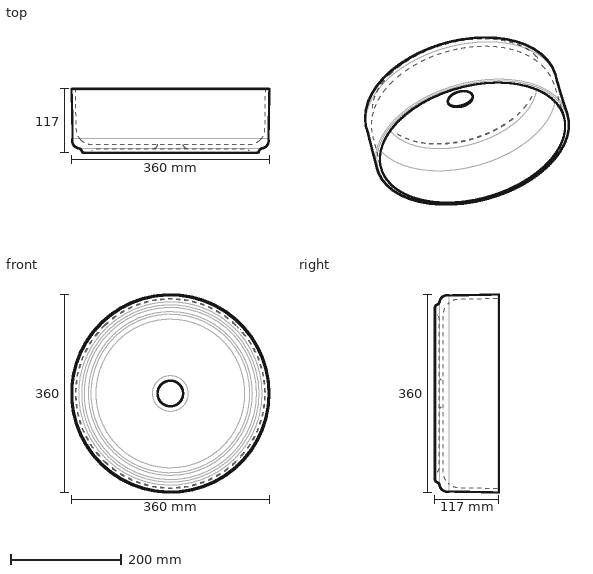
import cadquery as cq
import math

rim_radius = 180.0
height = 117.0
base_y = -height / 2
rim_y = height / 2

rim_round = 2.0
wall_base_radius = 178.0
wall_base_y = base_y + 26.3
shoulder_radius = 166.3
shoulder_y = base_y + 8.5
shoulder_bulge = 4.5

neck_radius = 161.0
neck_y = base_y + 3.2
neck_bulge = 1.0
foot_outer_radius = 156.2
foot_bulge = 0.7
foot_inner_radius = 148.5
recess_bend_radius = 144.0
recess_radius = 135.0
recess_depth = 8.0

wall_thickness = 7.5
floor_thickness = 7.5
bowl_corner_round = 28.8
drain_radius = 23.0
drain_mouth_radius = 32.5


def bulge_point(start, end, bulge):
    """Arc midpoint, offset from the chord to the right of start -> end."""
    dx = end[0] - start[0]
    dy = end[1] - start[1]
    chord = math.hypot(dx, dy)
    middle_x = (start[0] + end[0]) / 2
    middle_y = (start[1] + end[1]) / 2
    return (middle_x + bulge * dy / chord, middle_y - bulge * dx / chord)


def arc_to(profile, start, end, bulge):
    return profile.threePointArc(bulge_point(start, end, bulge), end)


def flat_end_bulge(start, end):
    """Bulge of an arc that runs parallel to the floor at one of its ends."""
    chord_angle = math.atan2(abs(end[1] - start[1]), abs(end[0] - start[0]))
    return math.dist(start, end) / 2 * math.tan(chord_angle / 2)


def make_body():
    """Revolve the outer shape, including the recessed underside."""
    recess_y = base_y + recess_depth
    recess_edge = (recess_radius, recess_y)
    foot_inner = (foot_inner_radius, base_y)
    recess_width = foot_inner_radius - recess_radius
    bend_fraction = (foot_inner_radius - recess_bend_radius) / recess_width
    recess_bend = (recess_bend_radius, base_y + bend_fraction * recess_depth)
    foot_outer = (foot_outer_radius, base_y)
    neck = (neck_radius, neck_y)
    shoulder = (shoulder_radius, shoulder_y)
    wall_base = (wall_base_radius, wall_base_y)

    profile = cq.Workplane("XY").moveTo(0, recess_y).lineTo(*recess_edge)
    hollow_bulge = flat_end_bulge(recess_edge, recess_bend)
    lip_bulge = flat_end_bulge(recess_bend, foot_inner)
    profile = arc_to(profile, recess_edge, recess_bend, -hollow_bulge)
    profile = arc_to(profile, recess_bend, foot_inner, lip_bulge)
    profile = profile.lineTo(*foot_outer)
    profile = arc_to(profile, foot_outer, neck, foot_bulge)
    profile = arc_to(profile, neck, shoulder, -neck_bulge)
    profile = arc_to(profile, shoulder, wall_base, shoulder_bulge)
    rim_edge = (rim_radius, rim_y - rim_round)
    rim_top = (rim_radius - rim_round, rim_y)
    profile = profile.lineTo(*rim_edge)
    profile = arc_to(profile, rim_edge, rim_top, flat_end_bulge(rim_edge, rim_top))
    profile = profile.lineTo(0, rim_y).close()
    return profile.revolve(360, (0, 0), (0, 1))


def make_cavity():
    """Revolve the open bowl, with a rounded corner between wall and floor."""
    floor_y = base_y + recess_depth + floor_thickness
    mouth_radius = rim_radius - wall_thickness
    floor_radius = wall_base_radius - wall_thickness
    profile = (
        cq.Workplane("XY")
        .moveTo(0, floor_y)
        .lineTo(floor_radius, floor_y)
        .lineTo(mouth_radius, rim_y)
        .lineTo(0, rim_y)
        .close()
    )
    cavity = profile.revolve(360, (0, 0), (0, 1))
    return cavity.faces("<Y").edges().fillet(bowl_corner_round)


def make_drain():
    """Revolve the drain hole with a rounded mouth as deep as the floor is thick."""
    mouth_y = base_y + recess_depth
    mouth_edge = (drain_mouth_radius, mouth_y)
    throat_edge = (drain_radius, mouth_y + floor_thickness)
    round_bulge = flat_end_bulge(mouth_edge, throat_edge)
    profile = cq.Workplane("XY").moveTo(0, mouth_y).lineTo(*mouth_edge)
    profile = arc_to(profile, mouth_edge, throat_edge, -round_bulge)
    profile = profile.lineTo(drain_radius, rim_y).lineTo(0, rim_y).close()
    return profile.revolve(360, (0, 0), (0, 1))


result = make_body().cut(make_cavity()).cut(make_drain())